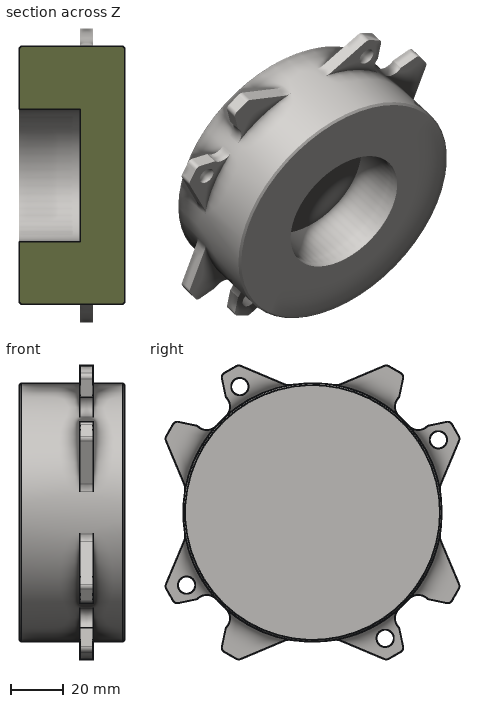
import cadquery as cq
import math

body_length = 40.0
body_radius = 49.0
edge_chamfer = 0.8
bore_radius = 25.0
bore_depth = 22.9

tooth_thickness = 5.0
tooth_offset = 22.9
tooth_pairs = 4
pair_angle = 360 / tooth_pairs
root_fillet = 5.0
corner_fillet = 2.0
tooth_tip = (28.0, 55.9)
tooth_shoulder = (34.6, 52.1)
back_slope = 22.8
seat_angle = 47.8
seat_end_angle = 133
tooth_embed_radius = 39

hole_radius = 3.2
hole_center = (47.6, 27.5)

left_face = -body_length / 2
tooth_face = left_face + tooth_offset
fillet_orbit = body_radius + root_fillet


def polar(radius, degrees, center=(0, 0)):
    angle = math.radians(degrees)
    return (center[0] + radius * math.cos(angle), center[1] + radius * math.sin(angle))


def make_body():
    body = cq.Workplane("YZ", origin=(left_face, 0, 0)).circle(body_radius).extrude(body_length)
    body = body.faces("<X or >X").chamfer(edge_chamfer)
    bore = cq.Workplane("YZ", origin=(left_face, 0, 0)).circle(bore_radius).extrude(bore_depth)
    return body.cut(bore)


def make_tooth():
    slope = math.radians(back_slope)
    flank_distance = tooth_tip[1] * math.cos(slope) - tooth_tip[0] * math.sin(slope)
    back_angle = back_slope + math.degrees(math.asin((flank_distance + root_fillet) / fillet_orbit))
    back_center = polar(fillet_orbit, back_angle)
    back_start_angle = back_angle + 180
    back_end_angle = back_slope + 270

    seat_center = polar(fillet_orbit, seat_angle)
    seat_start_angle = seat_angle + 180

    profile = (
        cq.Workplane("YZ", origin=(tooth_face, 0, 0))
        .moveTo(*polar(body_radius, back_angle))
        .threePointArc(
            polar(root_fillet, (back_start_angle + back_end_angle) / 2, back_center),
            polar(root_fillet, back_end_angle, back_center),
        )
        .lineTo(*tooth_tip)
        .lineTo(*tooth_shoulder)
        .lineTo(*polar(root_fillet, seat_end_angle, seat_center))
        .threePointArc(
            polar(root_fillet, (seat_start_angle + seat_end_angle) / 2, seat_center),
            polar(body_radius, seat_angle),
        )
        .lineTo(*polar(tooth_embed_radius, seat_angle))
        .lineTo(*polar(tooth_embed_radius, back_angle))
        .close()
    )
    tooth = profile.extrude(tooth_thickness)
    for corner in (tooth_tip, tooth_shoulder):
        point = (tooth_face + tooth_thickness / 2, *corner)
        tooth = tooth.edges("|X").edges(cq.NearestToPointSelector(point)).fillet(corner_fillet)
    return tooth


def make_tooth_pair():
    tooth = make_tooth()
    mirrored = tooth.mirror("XY").rotate((0, 0, 0), (1, 0, 0), 90)
    hole = (
        cq.Workplane("YZ", origin=(tooth_face, 0, 0))
        .center(*hole_center)
        .circle(hole_radius)
        .extrude(tooth_thickness)
    )
    return tooth, mirrored.cut(hole)


result = make_body()
pair = make_tooth_pair()
for index in range(tooth_pairs):
    for tooth in pair:
        result = result.union(tooth.rotate((0, 0, 0), (1, 0, 0), index * pair_angle))